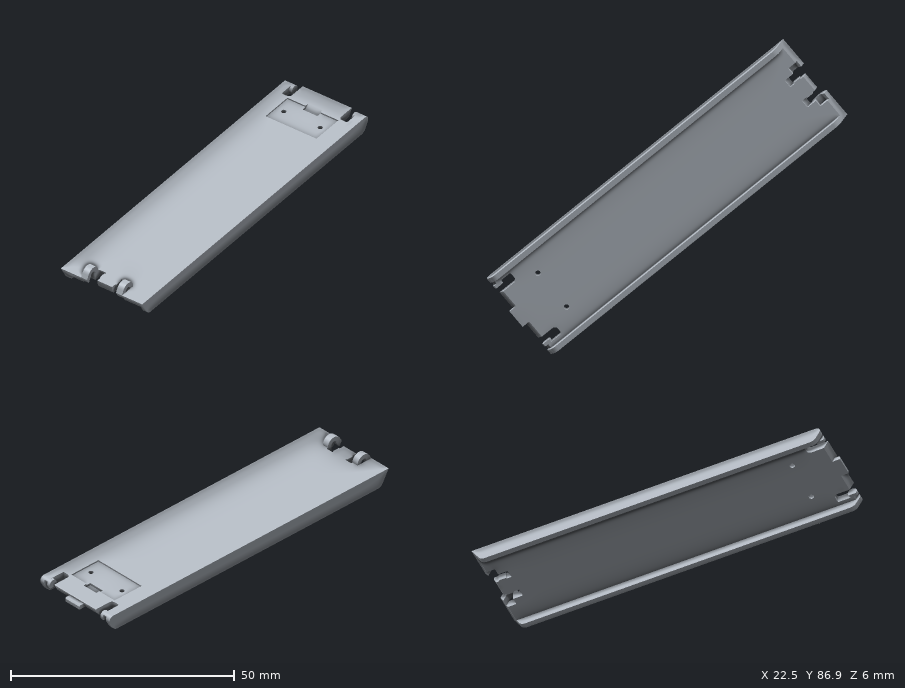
import cadquery as cq
import math

WIDTH = 22.5
TOTAL_LENGTH = 86.9
TOP_LENGTH = 86.1
END_LEAN = 30
PLATE_THICKNESS = 1.9
RAIL_WIDTH = 1.2
RAIL_DEPTH = 4.0
RAIL_CORNER_RADIUS = 1.7

LUG_RADIUS = 2.0
LUG_INNER_X = 4.0
LUG_OUTER_X = 5.65
LUG_HOLE_RADIUS = 0.9
HINGE_SLOT_END = 4.7
HINGE_SLOT_LEAN_DEPTH = 1.5
HINGE_TONGUE_WIDTH = 4.1
HINGE_TONGUE_START = 1.2
HINGE_TONGUE_ROUNDING = 3.5
DETENT_PROJECTION = 0.3
DETENT_START = 2.5
DETENT_LENGTH = 1.8

PIN_RADIUS = 1.1
PIN_INNER_X = 8.25
LATCH_SLOT_INNER_X = 6.8
LATCH_SLOT_OUTER_X = 9.0
LATCH_SLOT_START = 81.1
LATCH_SLOT_OUTER_FILLET = 0.35
LATCH_SLOT_INNER_FILLET = 0.9

NUB_WIDTH = 4.6
NUB_TOP = -0.9
NUB_CHAMFER = 0.3

LATCH_EDGE_LENGTH = 0.3
LATCH_EDGE_DROP = 0.1

POCKET_WIDTH = 14.1
POCKET_START = 72.2
POCKET_LENGTH = 8.3
POCKET_DEPTH = 0.35
POCKET_HOLE_X = 5.0
POCKET_HOLE_Y = 76.4
POCKET_HOLE_DIAMETER = 1.2
NOTCH_WIDTH = 4.1
NOTCH_START = 79.4
NOTCH_END = 81.6
NOTCH_DEPTH = 0.9

LEAN_TAN = math.tan(math.radians(END_LEAN))
LEAN_SIN = math.sin(math.radians(END_LEAN))
LEAN_COS = math.cos(math.radians(END_LEAN))
PIN_Y = TOP_LENGTH - PIN_RADIUS
LUG_Y = LUG_RADIUS / LEAN_COS
HALF_WIDTH = WIDTH / 2


def block(x0, x1, y0, y1, z0, z1):
    """Box between two opposite corners."""
    return cq.Workplane("XY").box(x1 - x0, y1 - y0, z1 - z0, centered=False).translate((x0, y0, z0))


def along_x(outline, x0, x1):
    """Extrude a closed YZ outline from x0 to x1."""
    return outline.extrude(x1 - x0).translate((x0, 0, 0))


def disc(radius, y, z, x0, x1):
    return along_x(cq.Workplane("YZ").center(y, z).circle(radius), x0, x1)


def plate():
    """Main plate with both end faces leaning inward below the top."""
    inset = PLATE_THICKNESS * LEAN_TAN
    outline = cq.Workplane("YZ").polyline([
        (0, 0),
        (TOP_LENGTH, 0),
        (TOP_LENGTH - inset, -PLATE_THICKNESS),
        (inset, -PLATE_THICKNESS),
    ]).close()
    return along_x(outline, -HALF_WIDTH, HALF_WIDTH)


def side_profile():
    """Rail outline, rounded about the latch pin at its far top corner."""
    tangent_y = PIN_Y + PIN_RADIUS * LEAN_COS
    tangent_z = -PIN_RADIUS - PIN_RADIUS * LEAN_SIN
    far_bottom_y = tangent_y - (RAIL_DEPTH + tangent_z) * LEAN_TAN
    arc_middle = (
        PIN_Y + PIN_RADIUS * LEAN_COS,
        -PIN_RADIUS + PIN_RADIUS * LEAN_SIN,
    )
    return (
        cq.Workplane("YZ")
        .lineTo(PIN_Y, 0)
        .threePointArc(arc_middle, (tangent_y, tangent_z))
        .lineTo(far_bottom_y, -RAIL_DEPTH)
        .lineTo(RAIL_DEPTH * LEAN_TAN, -RAIL_DEPTH)
        .close()
    )


def rail(x0, x1):
    return along_x(side_profile(), x0, x1).faces("<Z").edges("|X").fillet(RAIL_CORNER_RADIUS)


def lug(x0, x1):
    """Hinge barrel running tangentially into a point at the plate end."""
    tangent_y = LUG_Y - LUG_RADIUS * LEAN_COS
    tangent_z = LUG_RADIUS * LEAN_SIN
    outline = (
        cq.Workplane("YZ")
        .lineTo(tangent_y, tangent_z)
        .threePointArc((LUG_Y + LUG_RADIUS, 0), (tangent_y, -tangent_z))
        .close()
    )
    return along_x(outline, x0, x1)


def hook_opening(x0, x1):
    """Round lug bore that opens downward, flaring toward the plate end."""
    front_y = LUG_Y - LUG_HOLE_RADIUS
    back_y = LUG_Y + LUG_HOLE_RADIUS
    outline = (
        cq.Workplane("YZ")
        .moveTo(back_y, 0)
        .threePointArc((LUG_Y, LUG_HOLE_RADIUS), (front_y, 0))
        .lineTo(front_y - LUG_RADIUS * LEAN_TAN, -LUG_RADIUS)
        .lineTo(back_y, -LUG_RADIUS)
        .close()
    )
    return along_x(outline, x0, x1)


def hinge_slot(x0, x1):
    """Slot through the hinge end, its back wall leaning inward and then dropping straight."""
    lean_y = HINGE_SLOT_END + HINGE_SLOT_LEAN_DEPTH * LEAN_TAN
    outline = cq.Workplane("YZ").polyline([
        (0, 0),
        (HINGE_SLOT_END, 0),
        (lean_y, -HINGE_SLOT_LEAN_DEPTH),
        (lean_y, -PLATE_THICKNESS),
        (0, -PLATE_THICKNESS),
    ]).close()
    return along_x(outline, x0, x1)


def hinge_tongue_relief():
    """Space in front of the centre tongue, whose end rolls back underneath."""
    drop_angle = math.asin(PLATE_THICKNESS / HINGE_TONGUE_ROUNDING)
    arc_y = HINGE_TONGUE_START + HINGE_TONGUE_ROUNDING

    def arc_point(angle):
        return (
            arc_y - HINGE_TONGUE_ROUNDING * math.cos(angle),
            -HINGE_TONGUE_ROUNDING * math.sin(angle),
        )

    outline = (
        cq.Workplane("YZ")
        .lineTo(HINGE_TONGUE_START, 0)
        .threePointArc(arc_point(drop_angle / 2), arc_point(drop_angle))
        .lineTo(0, -PLATE_THICKNESS)
        .close()
    )
    return along_x(outline, -LUG_INNER_X, LUG_INNER_X)


def latch_edge():
    """Shallow bevel along the top end edge of the latch tongue."""
    outline = cq.Workplane("YZ").polyline([
        (TOP_LENGTH - LATCH_EDGE_LENGTH, 0),
        (TOP_LENGTH, 0),
        (TOP_LENGTH, -LATCH_EDGE_DROP),
    ]).close()
    return along_x(outline, -LATCH_SLOT_INNER_X, LATCH_SLOT_INNER_X)


def latch_pin():
    """Right-hand pin reaching into the latch slot, flush with the plate underside."""
    pin = disc(PIN_RADIUS, PIN_Y, -PIN_RADIUS, PIN_INNER_X, LATCH_SLOT_OUTER_X)
    return pin.intersect(block(PIN_INNER_X, LATCH_SLOT_OUTER_X, LATCH_SLOT_START, TOTAL_LENGTH,
                               -PLATE_THICKNESS, 0))


def latch_slot():
    """Right-hand slot beside the latch tongue, open at the far end."""
    slot = block(LATCH_SLOT_INNER_X, LATCH_SLOT_OUTER_X, LATCH_SLOT_START, TOTAL_LENGTH,
                 -PLATE_THICKNESS, 0)
    slot = slot.edges("|Z and <Y and >X").fillet(LATCH_SLOT_OUTER_FILLET)
    return slot.edges("|Z and <X").edges("<Y").fillet(LATCH_SLOT_INNER_FILLET)


def nub():
    """Latch nub on the end of the tongue."""
    body = block(-NUB_WIDTH / 2, NUB_WIDTH / 2, LATCH_SLOT_START + PIN_RADIUS, TOTAL_LENGTH,
                 -PLATE_THICKNESS, NUB_TOP)
    return body.edges(">Y and >Z").chamfer(NUB_CHAMFER)


def notch():
    """Recess in the pocket edge with a floor ramping up to the plate top."""
    outline = cq.Workplane("YZ").polyline([
        (NOTCH_START, 0),
        (NOTCH_START, -NOTCH_DEPTH),
        (POCKET_START + POCKET_LENGTH, -NOTCH_DEPTH),
        (NOTCH_END, 0),
    ]).close()
    return along_x(outline, -NOTCH_WIDTH / 2, NOTCH_WIDTH / 2)


def both_sides(shape):
    return shape.union(shape.mirror("YZ"))


corner_trim = block(LATCH_SLOT_OUTER_X, HALF_WIDTH, LATCH_SLOT_START, TOTAL_LENGTH, -RAIL_DEPTH, 0)
corner_trim = corner_trim.cut(along_x(side_profile(), LATCH_SLOT_OUTER_X, HALF_WIDTH))
result = plate().cut(both_sides(corner_trim)).cut(both_sides(latch_slot()))
result = result.union(both_sides(rail(HALF_WIDTH - RAIL_WIDTH, HALF_WIDTH)))

result = result.union(both_sides(latch_pin()))
result = result.cut(latch_edge()).union(nub())

tongue_half = HINGE_TONGUE_WIDTH / 2
result = result.cut(hinge_tongue_relief())
result = result.cut(both_sides(hinge_slot(tongue_half, LUG_INNER_X)))
detent = block(tongue_half, tongue_half + DETENT_PROJECTION, DETENT_START, DETENT_START + DETENT_LENGTH,
               -PLATE_THICKNESS, 0)
result = result.union(both_sides(detent))

result = result.union(both_sides(lug(LUG_INNER_X, LUG_OUTER_X)))
result = result.cut(both_sides(hook_opening(LUG_INNER_X, LUG_OUTER_X)))

result = result.cut(block(-POCKET_WIDTH / 2, POCKET_WIDTH / 2, POCKET_START, POCKET_START + POCKET_LENGTH,
                          -POCKET_DEPTH, 0))
result = result.cut(notch())
for side in (-1, 1):
    hole = cq.Workplane("XY").center(side * POCKET_HOLE_X, POCKET_HOLE_Y).circle(POCKET_HOLE_DIAMETER / 2)
    result = result.cut(hole.extrude(-PLATE_THICKNESS))